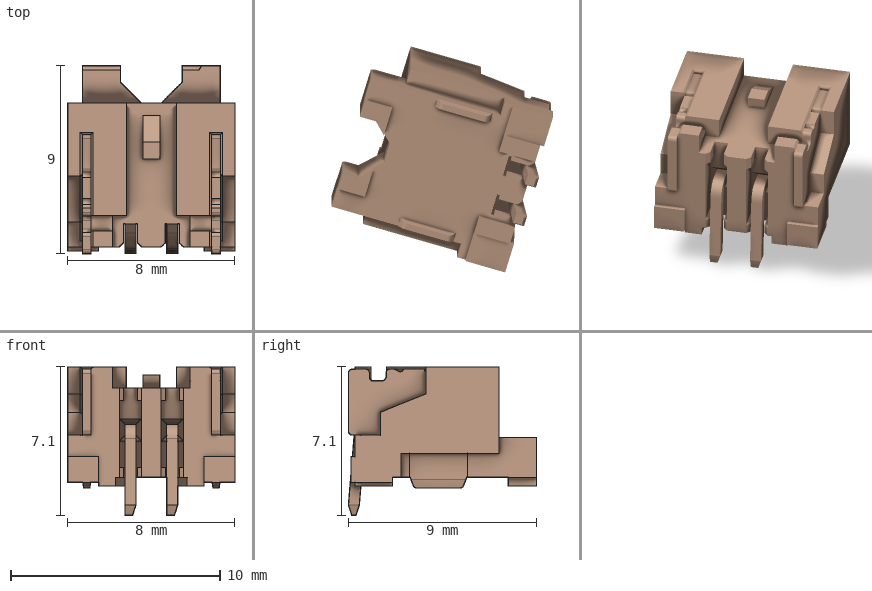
import cadquery as cq
import math


SIDES = (-1, 1)

body_width = 8.0
half_width = body_width / 2
base_half_width = 3.3
block_rear = 6.89
top_z = 5.7
deck_z = 4.7
block_bottom_z = 1.56
base_bottom_z = 0.41
channel_half_width = 1.2
upper_block_front = 1.5
post_inner_x = 1.85
post_depth = 0.765
saddle_z = 5.01
flank_rear = 2.205

foot_inner_x = 1.71
foot_outer_x = 2.52
front_foot_depth = 1.79
pad_bottom_z = 0.17
pad_top_z = 1.4
pad_thickness = 0.2

arm_rear = 8.68
arm_top_z = 2.32
arm_inner_x = 1.47
arm_gusset = 0.98
rear_foot_depth = 1.36
rear_foot_outer_x = 2.27
arm_bevel = 0.21
bevel_end_x = rear_foot_outer_x
bevel_end_shift = 0.15

latch_width = 0.81
latch_z = 5.31
latch_ramp_rear = 6.29
latch_ramp_front = 5.01
latch_front = 4.21
latch_undercut = 0.09

tab_thickness = 0.42
tab_outer_x = base_half_width
tab_inner_x = tab_outer_x - tab_thickness
tab_mid_x = tab_outer_x - tab_thickness / 2
tab_front = -0.32
tab_rear = 5.38
tab_top_z = 5.59
tab_shelf_z = 2.43
tab_corner = 0.2
leg_front = 2.59
leg_bottom_z = -0.1
leg_draft = 0.23
leg_draft_top_z = 0.51
leg_corner = 0.2
leg_thinning_z = 0.32
leg_bottom_thickness = 0.3
notch_front = 0.68
notch_rear = 1.485
notch_z = 5.04
notch_corner = 0.17
notch_rear_floor_corner = 0.21
front_dip_start = 1.86
front_dip_foot = 2.03
front_dip_end = 2.31
front_dip_depth = 0.13
rear_dip_start = 3.31
rear_dip_end = 3.73
rear_dip_depth = 0.14
rear_dip_shoulder_run = 0.14
rear_dip_shoulder_height = 0.08

cutaway_rear = 3.38
cutaway_rear_z = 4.41
cutaway_front = 1.21
cutaway_front_z = 3.53
slot_bevel = 0.1
shelf_bevel_front = 0.28

pin_x = 1.0
pin_size = 0.53
pin_top_z = 2.95
pin_rear = 3.6
bend_radius = 0.74
bend_y = 0.675
pin_lean = math.radians(4.7)
knee_z = -0.9
tip_z = -1.4
tip_taper = 0.16
opening_depth = 1.11
opening_half_width = 0.53
throat_half_width = 0.33
lower_throat_z = 0.89
upper_throat_z = 4.095
funnel_half_height = 0.53
funnel_depth = 0.27
relief_top_z = 2.1
relief_depth = 0.14


def box(x1, x2, y1, y2, z1, z2):
    """Box between two corners; the X limits may come in either order."""
    left = min(x1, x2)
    return cq.Workplane("XY").box(abs(x2 - x1), y2 - y1, z2 - z1, centered=False).translate((left, y1, z1))


def side_prism(points, x1, x2):
    """Prism with a (Y, Z) outline, running from x1 to x2."""
    left = min(x1, x2)
    return cq.Workplane("YZ", origin=(left, 0, 0)).polyline(points).close().extrude(abs(x2 - x1))


def plan_prism(points, z1, z2):
    """Prism with an (X, Y) outline, running from z1 to z2."""
    return cq.Workplane("XY", origin=(0, 0, z1)).polyline(points).close().extrude(z2 - z1)



def main_block():
    body = box(-half_width, half_width, 0, block_rear, block_bottom_z, deck_z)
    body = body.union(box(-base_half_width, base_half_width, 0, block_rear, base_bottom_z, block_bottom_z))
    body = body.union(box(-half_width, half_width, 0, flank_rear, base_bottom_z, block_bottom_z))
    for side in SIDES:
        outer = side * half_width
        post_inner = side * post_inner_x
        body = body.union(box(side * channel_half_width, outer, upper_block_front, block_rear, deck_z, top_z))
        body = body.union(box(post_inner, outer, 0, upper_block_front, deck_z, saddle_z))
        body = body.union(box(post_inner, outer, 0, post_depth, deck_z, top_z))
    return body


def front_supports(side):
    foot_outer = side * foot_outer_x
    outer = side * half_width
    foot = box(side * foot_inner_x, foot_outer, 0, front_foot_depth, 0, base_bottom_z)
    pad = box(foot_outer, outer, 0, front_foot_depth, pad_bottom_z, base_bottom_z)
    plate = box(foot_outer, outer, -pad_thickness, 0, pad_bottom_z, pad_top_z)
    return foot.union(pad).union(plate)


def rear_arm(side):
    outline = [
        (side * base_half_width, block_rear),
        (side * base_half_width, arm_rear),
        (side * arm_inner_x, arm_rear),
        (side * arm_inner_x, block_rear + arm_gusset),
        (side * (arm_inner_x - arm_gusset), block_rear),
    ]
    foot_front = arm_rear - rear_foot_depth
    foot_limit = box(0, side * rear_foot_outer_x, foot_front, arm_rear, 0, base_bottom_z)
    foot = plan_prism(outline, 0, base_bottom_z).intersect(foot_limit)
    return plan_prism(outline, base_bottom_z, arm_top_z).union(foot)


def arm_bevels():
    """Bevel along the top rear edge: all of the left arm, the inner part of the right arm."""
    wedge = side_prism(
        [
            (arm_rear - arm_bevel, arm_top_z),
            (arm_rear, arm_top_z),
            (arm_rear, arm_top_z - arm_bevel),
        ],
        -half_width,
        half_width,
    )
    extent = [
        (-half_width, arm_rear - arm_bevel),
        (bevel_end_x, arm_rear - arm_bevel),
        (bevel_end_x + bevel_end_shift, arm_rear),
        (-half_width, arm_rear),
    ]
    return wedge.intersect(plan_prism(extent, 0, arm_top_z))


def latch_bump():
    outline = [
        (latch_ramp_rear, deck_z),
        (latch_ramp_front, latch_z),
        (latch_front, latch_z),
        (latch_front + latch_undercut, deck_z),
    ]
    return side_prism(outline, -latch_width / 2, latch_width / 2)


def side_cutaway(side):
    """Stepped opening that bares the outer face of the tab."""
    outline = [
        (cutaway_rear, top_z),
        (cutaway_rear, cutaway_rear_z),
        (cutaway_front, cutaway_front_z),
        (cutaway_front, tab_shelf_z),
        (0, tab_shelf_z),
        (0, top_z),
    ]
    return side_prism(outline, side * tab_outer_x, side * half_width)


def tab_slot(side):
    """Slot for the tab, open to the top, to the front and, for the leg, to the bottom."""
    outline = [
        (0, top_z),
        (tab_rear, top_z),
        (tab_rear, base_bottom_z),
        (leg_front, base_bottom_z),
        (leg_front, tab_shelf_z),
        (0, tab_shelf_z),
    ]
    return side_prism(outline, side * tab_inner_x, side * tab_outer_x)


def slot_mouth_bevel(side):
    """45 degree lead-in around the top of the tab slot, running out through the front."""
    mouth_rear = tab_rear + slot_bevel
    mouth_front = -2 * slot_bevel
    return (
        cq.Workplane("XY", origin=(side * tab_mid_x, (mouth_rear + mouth_front) / 2, top_z))
        .rect(tab_thickness + 2 * slot_bevel, mouth_rear - mouth_front)
        .extrude(-slot_bevel, taper=45)
    )


def cutaway_bevel(side):
    """Bevel where the slot meets the upright and the slope of the cutaway."""
    slope = (cutaway_rear_z - cutaway_front_z) / (cutaway_rear - cutaway_front)

    def outline(growth):
        return [
            (cutaway_rear + growth, top_z),
            (cutaway_rear + growth, cutaway_rear_z - growth * (1 - slope)),
            (cutaway_front, cutaway_front_z - growth),
            (cutaway_front, top_z),
        ]

    return (
        cq.Workplane("YZ", origin=(side * tab_outer_x, 0, 0))
        .polyline(outline(slot_bevel))
        .close()
        .workplane(offset=side * slot_bevel)
        .polyline(outline(0))
        .close()
        .loft(ruled=True)
    )


def shelf_bevel(side):
    """Bevel on the shelf edge beside the front part of the tab."""
    return (
        cq.Workplane("XZ", origin=(0, cutaway_front, 0))
        .polyline(
            [
                (side * tab_outer_x, tab_shelf_z),
                (side * (tab_outer_x + slot_bevel), tab_shelf_z),
                (side * tab_outer_x, tab_shelf_z - slot_bevel),
            ]
        )
        .close()
        .extrude(cutaway_front - shelf_bevel_front)
    )


def contact_opening():
    """Front opening of one contact, centred on X = 0, without the pin hole."""
    flare = opening_half_width - throat_half_width
    throat = plan_prism(
        [
            (-opening_half_width, 0),
            (-throat_half_width, flare),
            (-throat_half_width, opening_depth),
            (throat_half_width, opening_depth),
            (throat_half_width, flare),
            (opening_half_width, 0),
        ],
        base_bottom_z,
        deck_z,
    )
    chamber = box(
        -opening_half_width, opening_half_width, 0, opening_depth, lower_throat_z, upper_throat_z
    )
    relief = side_prism(
        [
            (opening_depth, relief_top_z),
            (opening_depth + relief_depth, base_bottom_z),
            (opening_depth, base_bottom_z),
        ],
        -opening_half_width,
        opening_half_width,
    )
    funnel = (
        cq.Workplane("XZ", origin=(0, opening_depth, pin_top_z - pin_size / 2))
        .rect(2 * opening_half_width, 2 * funnel_half_height)
        .workplane(offset=-funnel_depth)
        .rect(pin_size, pin_size)
        .loft(ruled=True)
    )
    return throat.union(chamber).union(relief).union(funnel)


def pin_hole():
    """Blind hole for the straight part of one pin, centred on X = 0."""
    half = pin_size / 2
    return box(-half, half, opening_depth, pin_rear, pin_top_z - pin_size, pin_top_z)


def make_housing():
    body = main_block().union(latch_bump())
    for side in SIDES:
        body = body.union(front_supports(side)).union(rear_arm(side))
    body = body.cut(arm_bevels())
    for side in SIDES:
        body = body.cut(side_cutaway(side)).cut(tab_slot(side))
        body = body.cut(slot_mouth_bevel(side)).cut(cutaway_bevel(side)).cut(shelf_bevel(side))
        place = (side * pin_x, 0, 0)
        body = body.cut(contact_opening().translate(place)).cut(pin_hole().translate(place))
    return body



def make_tab(side):
    """Flat plate standing in the YZ plane, with a tapered solder leg below the base."""
    shoulder_y = rear_dip_end - rear_dip_shoulder_run
    shoulder_chord = math.hypot(rear_dip_shoulder_run, rear_dip_shoulder_height)
    shoulder_radius = shoulder_chord**2 / (2 * rear_dip_shoulder_height)
    plate = (
        cq.Workplane("YZ", origin=(side * tab_mid_x, 0, 0))
        .moveTo(tab_front, tab_shelf_z)
        .lineTo(tab_front, tab_top_z)
        .lineTo(notch_front, tab_top_z)
        .lineTo(notch_front, notch_z)
        .lineTo(notch_rear, notch_z)
        .lineTo(notch_rear, tab_top_z)
        .lineTo(front_dip_start, tab_top_z)
        .lineTo(front_dip_foot, tab_top_z - front_dip_depth / 2)
        .threePointArc(
            ((front_dip_foot + front_dip_end) / 2, tab_top_z - front_dip_depth),
            (front_dip_end, tab_top_z),
        )
        .lineTo(rear_dip_start, tab_top_z)
        .threePointArc(
            ((rear_dip_start + shoulder_y) / 2, tab_top_z - rear_dip_depth),
            (shoulder_y, tab_top_z - rear_dip_shoulder_height),
        )
        .radiusArc((rear_dip_end, tab_top_z), shoulder_radius)
        .lineTo(tab_rear, tab_top_z)
        .lineTo(tab_rear, leg_draft_top_z)
        .lineTo(tab_rear - leg_draft, leg_bottom_z)
        .lineTo(leg_front + leg_draft, leg_bottom_z)
        .lineTo(leg_front, leg_draft_top_z)
        .lineTo(leg_front, tab_shelf_z)
        .close()
        .extrude(tab_thickness / 2, both=True)
    )

    def corner(y, z):
        """Selector for the edge through the plate at (y, z)."""
        return cq.selectors.NearestToPointSelector((side * tab_mid_x, y, z))

    for y, z in ((tab_front, tab_shelf_z), (tab_front, tab_top_z), (tab_rear, tab_top_z)):
        plate = plate.edges("|X").edges(corner(y, z)).fillet(tab_corner)
    plate = plate.edges("|X").edges(corner(notch_rear, notch_z)).fillet(notch_rear_floor_corner)
    for y, z in ((notch_front, tab_top_z), (notch_front, notch_z), (notch_rear, tab_top_z)):
        plate = plate.edges("|X").edges(corner(y, z)).fillet(notch_corner)
    for y in (leg_front + leg_draft, tab_rear - leg_draft):
        plate = plate.edges("|X").edges(corner(y, leg_bottom_z)).fillet(leg_corner)

    half = tab_thickness / 2
    bottom_half = leg_bottom_thickness / 2
    thickness_limit = (
        cq.Workplane("XZ", origin=(side * tab_mid_x, tab_rear, 0))
        .polyline(
            [
                (-half, tab_top_z),
                (-half, leg_thinning_z),
                (-bottom_half, leg_bottom_z),
                (bottom_half, leg_bottom_z),
                (half, leg_thinning_z),
                (half, tab_top_z),
            ]
        )
        .close()
        .extrude(tab_rear - tab_front)
    )
    return plate.intersect(thickness_limit)



def make_pin(x):
    """Square pin: straight into the housing, bent down, leaning forward to a tapered tip."""
    bend_z = pin_top_z - bend_radius

    def on_bend(radius, angle):
        return (bend_y - radius * math.cos(angle), bend_z + radius * math.sin(angle))

    mid_angle = (pin_lean + math.pi / 2) / 2
    inner_radius = bend_radius - pin_size
    outer_end = on_bend(bend_radius, pin_lean)
    knee_front_y = outer_end[0] - (outer_end[1] - knee_z) * math.tan(pin_lean)
    knee_back_y = knee_front_y + pin_size / math.cos(pin_lean)
    pin = (
        cq.Workplane("YZ", origin=(x, 0, 0))
        .moveTo(pin_rear, pin_top_z)
        .lineTo(bend_y, pin_top_z)
        .threePointArc(on_bend(bend_radius, mid_angle), outer_end)
        .lineTo(knee_front_y, knee_z)
        .lineTo(knee_front_y + tip_taper, tip_z)
        .lineTo(knee_back_y - tip_taper, tip_z)
        .lineTo(knee_back_y, knee_z)
        .lineTo(*on_bend(inner_radius, pin_lean))
        .threePointArc(on_bend(inner_radius, mid_angle), (bend_y, bend_z + inner_radius))
        .lineTo(pin_rear, bend_z + inner_radius)
        .close()
        .extrude(pin_size / 2, both=True)
    )
    right = x + pin_size / 2
    tip_side = (
        cq.Workplane("XZ", origin=(0, pin_rear, 0))
        .polyline([(right, knee_z), (right, tip_z), (right - tip_taper, tip_z)])
        .close()
        .extrude(2 * pin_rear)
    )
    return pin.cut(tip_side)


housing = make_housing()
tabs = [make_tab(side) for side in SIDES]
pins = [make_pin(side * pin_x) for side in SIDES]

result = cq.Compound.makeCompound(
    [housing.val(), *[tab.val() for tab in tabs], *[pin.val() for pin in pins]]
)